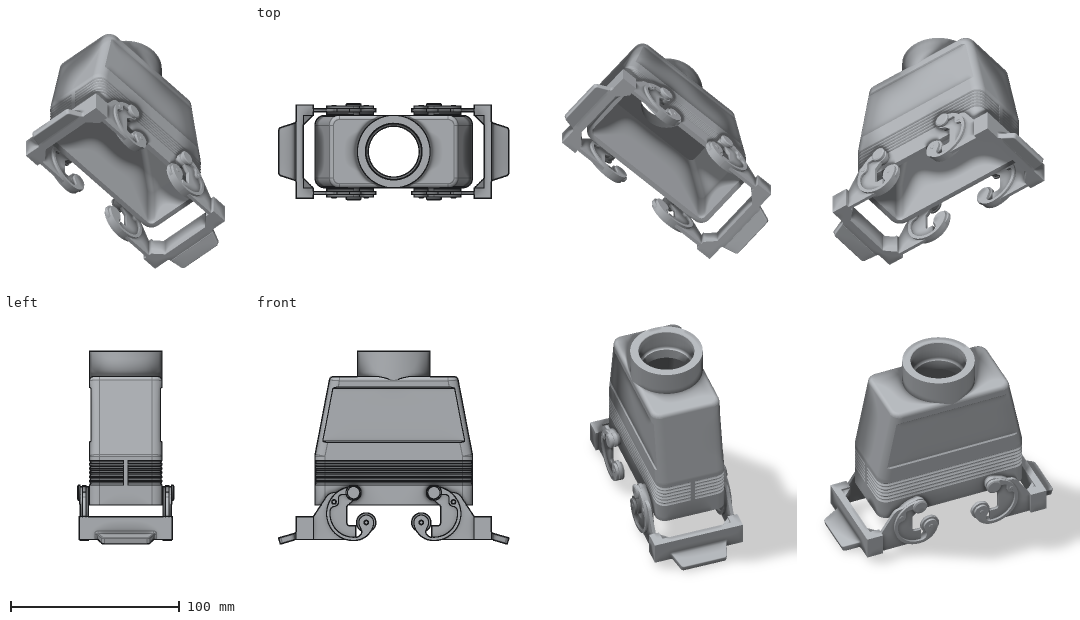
import math

import cadquery as cq

HOOD_LENGTH = 93.4
HOOD_WIDTH = 43.0
HOOD_HEIGHT = 76.0
HOOD_TOP_LENGTH = 75.5
TAPER_START_Z = 29.3
HOOD_CORNER_R = 6.0
TAPER_BLEND_R = 7.0
HOOD_TOP_FILLET = 2.5
WALL = 3.0
CAVITY_HEIGHT = 72.0

CUT_MARGIN = 2.0

PICK_MARGIN = 1.0
PICK_TOLERANCE = 0.01

COLLAR_D = HOOD_WIDTH
COLLAR_TOP_Z = 91.0
ENTRY_D = 30.0
BORE_D = 33.0
BORE_DEPTH = 12.6
BORE_RIM_CHAMFER = 0.3
BORE_FILLET = 1.4

PANEL_DEPTH = 0.8
PANEL_BOTTOM_Z = 37.0
PANEL_TOP_Z = 69.8

GROOVE_COUNT = 6
GROOVE_PITCH = 2.5
GROOVE_DEPTH = 0.92
GROOVE_FIRST_Z = 12.9
GROOVE_WEB = 2.5

BAR_OUTER_X = -57.75
BAR_INNER_X = -47.6
BAR_WEB = 4.25
BAR_HALF_WIDTH = 27.65
BAR_TOP_Z = -6.85
BAR_BOTTOM_Z = -20.5
GUSSET_LEG = 5.8
GUSSET_DROP = 1.2

TAB_LENGTH = 9.82
TAB_THICKNESS = 3.9
TAB_ANGLE = 16.0
TAB_ROOT_HALF_WIDTH = 17.0
TAB_SIDE_SLOPE = 0.31
TAB_CORNER_R = 2.0
TAB_EDGE_FILLET = 0.5
TAB_ROOT_FILLET = 1.4
TAB_EMBED = 2.0

ARM_MID_Y = 24.5
PLATE_THICKNESS = 2.0
RIM_THICKNESS = 5.0
HEAD_TOP_Y = 28.5
HEAD_CHAMFER_HEIGHT = 0.5
HEAD_CHAMFER_WIDTH = 0.85
STUD_HEIGHT = 0.3
STUD_R = 1.35
STUD_CHAMFER = 0.25

RIM_X = -23.75
RIM_Z = -5.1
RIM_OUTER_R = 16.0
RIM_INNER_R = 14.0
PIVOT = (RIM_X, 7.3)
PIVOT_HEAD_R = 4.5
PIVOT_PLATE_R = 4.3
PIVOT_SHAFT_R = 3.6
ROLLER = (RIM_X + 7.45, RIM_Z - 5.25)
ROLLER_BOSS_R = 4.4
ROLLER_DISC_R = 5.75
RIVET = (RIM_X - 11.6, RIM_Z + 6.9)
RIVET_BOSS_R = 2.65
PLATE_EMBED = 1.0
PLATE_SHOULDER_R = 5.5
PLATE_CROWN_R = RIM_OUTER_R + 0.15
PLATE_CROWN_START_ANGLE = 128.0
RIM_BAND_Z = RIM_Z + 11.2
TAIL_START_ANGLE = -86.0
HOOK_NOTCH_R = 3.5
HOOK_NOTCH_ANGLE = -83.0
HOOK_NOTCH_END_ANGLE = 5.0
ROLLER_NECK_ANGLE = 204.0
RIM_INNER_END_ANGLE = 173.0
RIVET_BOSS_START_ANGLE = -75.0
RIVET_BOSS_END_ANGLE = 10.0
BAND_BEND_R = 1.9

PLATE_EDGE_X = RIM_X - 3.95
PLATE_EDGE_TOP_Z = -0.7
PLATE_STEP_Z = -12.2
PLATE_STEP_X = RIM_X + 1.4
PLATE_STEP_FILLET = 1.6


def polar(center, radius, angle):
    """Point at an angle (degrees) on a circle in the XZ plane."""
    a = math.radians(angle)
    return (center[0] + radius * math.cos(a), center[1] + radius * math.sin(a))


def slab(outline, y_near, y_far):
    """Extrude a closed XZ outline over a range of distance on the -Y side."""
    body = cq.Workplane("XZ").add(outline).toPending().extrude(y_far - y_near)
    return body.translate((0, -y_near, 0))


def disc(center, radius, y_near, y_far):
    """Cylinder along Y over a range of distance on the -Y side."""
    plane = cq.Workplane("XZ", origin=(0, -y_near, 0))
    return plane.center(*center).circle(radius).extrude(y_far - y_near)


def mirrored(body, plane):
    """The body together with its mirror image."""
    return body.union(body.mirror(plane))



def hood_block(inset, height):
    """Slanted-end block with rounded corners, inset evenly from the hood's outside."""
    slope = (HOOD_LENGTH - HOOD_TOP_LENGTH) / 2 / (HOOD_HEIGHT - TAPER_START_Z)
    base = HOOD_LENGTH / 2 - inset
    top = base - slope * (height - TAPER_START_Z)
    width = HOOD_WIDTH - 2 * inset
    outline = [
        (-base, 0),
        (base, 0),
        (base, TAPER_START_Z),
        (top, height),
        (-top, height),
        (-base, TAPER_START_Z),
    ]
    block = cq.Workplane("XZ").polyline(outline).close().extrude(width / 2, both=True)
    kink = cq.selectors.BoxSelector(
        (-HOOD_LENGTH, -PICK_MARGIN, TAPER_START_Z - PICK_MARGIN),
        (HOOD_LENGTH, PICK_MARGIN, TAPER_START_Z + PICK_MARGIN),
    )
    block = block.edges(kink).fillet(TAPER_BLEND_R)
    return block.edges("(not #Z) and (not |Y)").edges("not(<Z or >Z)").fillet(HOOD_CORNER_R - inset)


def panel_cutter():
    """Trapezoidal bar, sloped 45 degrees at top and bottom, cutting the front face."""
    face_y = -HOOD_WIDTH / 2
    section = [
        (face_y, PANEL_BOTTOM_Z),
        (face_y + PANEL_DEPTH, PANEL_BOTTOM_Z + PANEL_DEPTH),
        (face_y + PANEL_DEPTH, PANEL_TOP_Z - PANEL_DEPTH),
        (face_y, PANEL_TOP_Z),
    ]
    return cq.Workplane("YZ").polyline(section).close().extrude(HOOD_LENGTH, both=True)


def groove_cutter(mid_z):
    """V-shaped ring around the hood, left out over the webs at the two ends."""
    ring = cq.Workplane("XY", origin=(0, 0, mid_z)).box(
        HOOD_LENGTH + CUT_MARGIN, HOOD_WIDTH + CUT_MARGIN, 2 * GROOVE_DEPTH
    )
    lower_core = (
        cq.Workplane("XY", origin=(0, 0, mid_z - GROOVE_DEPTH))
        .sketch()
        .rect(HOOD_LENGTH, HOOD_WIDTH)
        .vertices()
        .fillet(HOOD_CORNER_R)
        .finalize()
        .extrude(GROOVE_DEPTH, taper=45)
    )
    upper_core = lower_core.mirror("XY", (0, 0, mid_z))
    web = cq.Workplane("XY", origin=(0, 0, mid_z)).box(
        HOOD_LENGTH + CUT_MARGIN, GROOVE_WEB, 2 * GROOVE_DEPTH
    )
    return ring.cut(lower_core).cut(upper_core).cut(web)


def entry_bore():
    """Stepped bore through the collar with a rounded shoulder."""
    entry_r = ENTRY_D / 2
    bore_r = BORE_D / 2
    floor_z = COLLAR_TOP_Z - BORE_DEPTH
    arc_mid = polar((bore_r - BORE_FILLET, floor_z + BORE_FILLET), BORE_FILLET, -45)
    return (
        cq.Workplane("XZ")
        .moveTo(0, CAVITY_HEIGHT - CUT_MARGIN)
        .lineTo(entry_r, CAVITY_HEIGHT - CUT_MARGIN)
        .lineTo(entry_r, floor_z)
        .lineTo(bore_r - BORE_FILLET, floor_z)
        .threePointArc(arc_mid, (bore_r, floor_z + BORE_FILLET))
        .lineTo(bore_r, COLLAR_TOP_Z - BORE_RIM_CHAMFER)
        .lineTo(bore_r + BORE_RIM_CHAMFER, COLLAR_TOP_Z)
        .lineTo(0, COLLAR_TOP_Z)
        .close()
        .revolve(360, (0, 0, 0), (0, 1, 0))
    )


def make_hood():
    hood = hood_block(0, HOOD_HEIGHT).faces(">Z").edges().fillet(HOOD_TOP_FILLET)
    hood = hood.cut(mirrored(panel_cutter(), "XZ"))
    for i in range(GROOVE_COUNT):
        hood = hood.cut(groove_cutter(GROOVE_FIRST_Z + i * GROOVE_PITCH))
    collar_base_z = PANEL_TOP_Z
    collar = cq.Workplane("XY", origin=(0, 0, collar_base_z)).circle(COLLAR_D / 2)
    hood = hood.union(collar.extrude(COLLAR_TOP_Z - collar_base_z))
    return hood.cut(hood_block(WALL, CAVITY_HEIGHT)).cut(entry_bore())



def finger_tab():
    """Trapezoidal tab with rounded edges, sloping down and away from the bar."""
    root_half = TAB_ROOT_HALF_WIDTH + TAB_SIDE_SLOPE * TAB_EMBED
    tip_half = TAB_ROOT_HALF_WIDTH - TAB_SIDE_SLOPE * TAB_LENGTH
    outline = [
        (TAB_EMBED, -root_half),
        (TAB_EMBED, root_half),
        (-TAB_LENGTH, tip_half),
        (-TAB_LENGTH, -tip_half),
    ]
    tab = cq.Workplane("XY").polyline(outline).close().extrude(TAB_THICKNESS)
    tab = tab.edges("<X and |Z").fillet(TAB_CORNER_R)
    tab = tab.faces("<Z or >Z").edges("not >X").fillet(TAB_EDGE_FILLET)
    return tab.rotate((0, 0, 0), (0, 1, 0), -TAB_ANGLE).translate((BAR_OUTER_X, 0, BAR_BOTTOM_Z))


def bar_with_tab():
    """U-shaped bar with gussets in its corners and the finger tab on its outer face."""
    length = BAR_INNER_X - BAR_OUTER_X
    height = BAR_TOP_Z - BAR_BOTTOM_Z
    arm_inner_y = HOOD_WIDTH / 2
    web_inner_x = BAR_OUTER_X + BAR_WEB
    spare = 2 * TAB_ROOT_FILLET
    bar = cq.Workplane("XY").box(
        length, 2 * BAR_HALF_WIDTH, height + spare, centered=(False, True, False)
    )
    bar = bar.translate((BAR_OUTER_X, 0, BAR_BOTTOM_Z - spare)).union(finger_tab())
    root_edges = cq.selectors.BoxSelector(
        (BAR_OUTER_X - PICK_TOLERANCE, -BAR_HALF_WIDTH + PICK_MARGIN, BAR_BOTTOM_Z - PICK_MARGIN),
        (BAR_OUTER_X + PICK_TOLERANCE, BAR_HALF_WIDTH - PICK_MARGIN, BAR_TOP_Z - PICK_MARGIN),
        boundingbox=True,
    )
    bar = bar.edges(root_edges).fillet(TAB_ROOT_FILLET)
    trim = cq.Workplane("XY").box(
        length + TAB_ROOT_FILLET, 2 * BAR_HALF_WIDTH, 2 * spare, centered=(False, True, False)
    )
    bar = bar.cut(trim.translate((BAR_OUTER_X - TAB_ROOT_FILLET, 0, BAR_BOTTOM_Z - 2 * spare)))
    opening = cq.Workplane("XY").box(
        BAR_INNER_X - web_inner_x, 2 * arm_inner_y, height, centered=(False, True, False)
    )
    bar = bar.cut(opening.translate((web_inner_x, 0, BAR_BOTTOM_Z)))
    gusset_outline = [
        (web_inner_x, -arm_inner_y),
        (web_inner_x + GUSSET_LEG, -arm_inner_y),
        (web_inner_x, -arm_inner_y + GUSSET_LEG),
    ]
    gusset = (
        cq.Workplane("XY", origin=(0, 0, BAR_BOTTOM_Z))
        .polyline(gusset_outline)
        .close()
        .extrude(height - GUSSET_DROP)
    )
    return bar.union(mirrored(gusset, "XZ"))


def plate_outline():
    """Arm plate: bar to rounded shoulder, crown along the rim, stepped inner edge."""
    corner = (BAR_INNER_X, BAR_TOP_Z)
    dx = corner[0] - RIVET[0]
    dz = corner[1] - RIVET[1]
    tangent_angle = math.degrees(
        math.atan2(dz, dx) - math.acos(PLATE_SHOULDER_R / math.hypot(dx, dz))
    ) % 360
    shoulder_start = polar(RIVET, PLATE_SHOULDER_R, tangent_angle)
    shoulder_mid = polar(RIVET, PLATE_SHOULDER_R, (tangent_angle + 90) / 2)
    shoulder_end = polar(RIVET, PLATE_SHOULDER_R, 90)
    rim_center = (RIM_X, RIM_Z)
    crown_mid = polar(rim_center, PLATE_CROWN_R, (PLATE_CROWN_START_ANGLE + 90) / 2)
    inside_bar_x = BAR_INNER_X - PLATE_EMBED
    fillet_center = (PLATE_EDGE_X + PLATE_STEP_FILLET, PLATE_STEP_Z + PLATE_STEP_FILLET)
    return (
        cq.Workplane("XZ")
        .moveTo(inside_bar_x, BAR_BOTTOM_Z)
        .lineTo(inside_bar_x, BAR_TOP_Z)
        .lineTo(*corner)
        .lineTo(*shoulder_start)
        .threePointArc(shoulder_mid, shoulder_end)
        .lineTo(*polar(rim_center, PLATE_CROWN_R, PLATE_CROWN_START_ANGLE))
        .threePointArc(crown_mid, polar(rim_center, PLATE_CROWN_R, 90))
        .lineTo(PIVOT[0], PIVOT[1] - PIVOT_PLATE_R)
        .lineTo(PLATE_EDGE_X, PLATE_EDGE_TOP_Z)
        .lineTo(PLATE_EDGE_X, fillet_center[1])
        .threePointArc(polar(fillet_center, PLATE_STEP_FILLET, 225), (fillet_center[0], PLATE_STEP_Z))
        .lineTo(PLATE_STEP_X, PLATE_STEP_Z)
        .lineTo(PLATE_STEP_X, BAR_BOTTOM_Z)
        .close()
        .wire()
    )


def rim_outline():
    """Hook rim: ring arc with a rivet boss, a top band, and a tail curling to the roller."""
    center = (RIM_X, RIM_Z)
    tail_dir = polar((0, 0), 1, TAIL_START_ANGLE)
    to_roller = (ROLLER[0] - RIM_X, ROLLER[1] - RIM_Z)
    along = to_roller[0] * tail_dir[0] + to_roller[1] * tail_dir[1]
    reach = RIM_OUTER_R - ROLLER_BOSS_R
    shift = (reach**2 - math.hypot(*to_roller) ** 2) / (2 * (reach - along))
    tail_r = RIM_OUTER_R - shift
    tail_center = polar(center, shift, TAIL_START_ANGLE)
    tail_end_angle = math.degrees(
        math.atan2(ROLLER[1] - tail_center[1], ROLLER[0] - tail_center[0])
    )
    notch_center = polar(center, RIM_INNER_R - HOOK_NOTCH_R, HOOK_NOTCH_ANGLE)
    notch_mid_angle = (HOOK_NOTCH_ANGLE + HOOK_NOTCH_END_ANGLE) / 2
    inner_start_angle = HOOK_NOTCH_ANGLE % 360
    inner_mid_angle = (inner_start_angle + RIM_INNER_END_ANGLE) / 2
    inner_end = polar(center, RIM_INNER_R, RIM_INNER_END_ANGLE)
    boss_start = polar(RIVET, RIVET_BOSS_R, RIVET_BOSS_START_ANGLE)
    boss_mid = polar(RIVET, RIVET_BOSS_R, (RIVET_BOSS_START_ANGLE + RIVET_BOSS_END_ANGLE) / 2)
    boss_end = polar(RIVET, RIVET_BOSS_R, RIVET_BOSS_END_ANGLE)
    bend_center = (boss_end[0] + BAND_BEND_R, RIM_BAND_Z - BAND_BEND_R)
    outer_mid_angle = (90 + TAIL_START_ANGLE % 360) / 2
    tail_start = polar(center, RIM_OUTER_R, TAIL_START_ANGLE)
    return (
        cq.Workplane("XZ")
        .moveTo(*polar(center, RIM_OUTER_R, 90))
        .threePointArc(polar(center, RIM_OUTER_R, outer_mid_angle), tail_start)
        .threePointArc(
            polar(tail_center, tail_r, (TAIL_START_ANGLE + tail_end_angle) / 2),
            polar(tail_center, tail_r, tail_end_angle),
        )
        .lineTo(*ROLLER)
        .lineTo(*polar(ROLLER, ROLLER_BOSS_R, ROLLER_NECK_ANGLE))
        .lineTo(*polar(notch_center, HOOK_NOTCH_R, HOOK_NOTCH_END_ANGLE))
        .threePointArc(
            polar(notch_center, HOOK_NOTCH_R, notch_mid_angle),
            polar(center, RIM_INNER_R, HOOK_NOTCH_ANGLE),
        )
        .threePointArc(polar(center, RIM_INNER_R, inner_mid_angle), inner_end)
        .tangentArcPoint(boss_start, relative=False)
        .threePointArc(boss_mid, boss_end)
        .lineTo(boss_end[0], bend_center[1])
        .threePointArc(polar(bend_center, BAND_BEND_R, 135), (bend_center[0], RIM_BAND_Z))
        .lineTo(RIM_X, RIM_BAND_Z)
        .close()
        .wire()
    )


def stud(center, base_y):
    """Small chamfered stud standing on the rim face."""
    body = disc(center, STUD_R, base_y - STUD_HEIGHT, base_y + STUD_HEIGHT)
    return body.faces("<Y").chamfer(STUD_CHAMFER)


def lever_arm():
    """Arm on the -Y side: thin plate, thicker hook rim, pivot pin and roller."""
    plate_near = ARM_MID_Y - PLATE_THICKNESS / 2
    plate_far = ARM_MID_Y + PLATE_THICKNESS / 2
    rim_near = ARM_MID_Y - RIM_THICKNESS / 2
    rim_far = ARM_MID_Y + RIM_THICKNESS / 2
    arm = slab(plate_outline(), plate_near, plate_far)
    arm = arm.union(disc(PIVOT, PIVOT_PLATE_R, plate_near, plate_far))
    arm = arm.union(disc(ROLLER, ROLLER_DISC_R, plate_near, plate_far))
    arm = arm.union(slab(rim_outline(), rim_near, rim_far))
    arm = arm.union(disc(ROLLER, ROLLER_BOSS_R, rim_near, rim_far))
    shaft_start = HOOD_WIDTH / 2 - WALL / 2
    arm = arm.union(disc(PIVOT, PIVOT_SHAFT_R, shaft_start, rim_far))
    head = disc(PIVOT, PIVOT_HEAD_R, rim_far, HEAD_TOP_Y)
    head = head.faces("<Y").chamfer(HEAD_CHAMFER_HEIGHT, HEAD_CHAMFER_WIDTH)
    arm = arm.union(head)
    for center in (RIVET, ROLLER):
        arm = arm.union(stud(center, rim_far))
    return arm


def make_lever():
    return bar_with_tab().union(mirrored(lever_arm(), "XZ"))


lever = make_lever()
result = make_hood().union(lever).union(lever.mirror("YZ"))